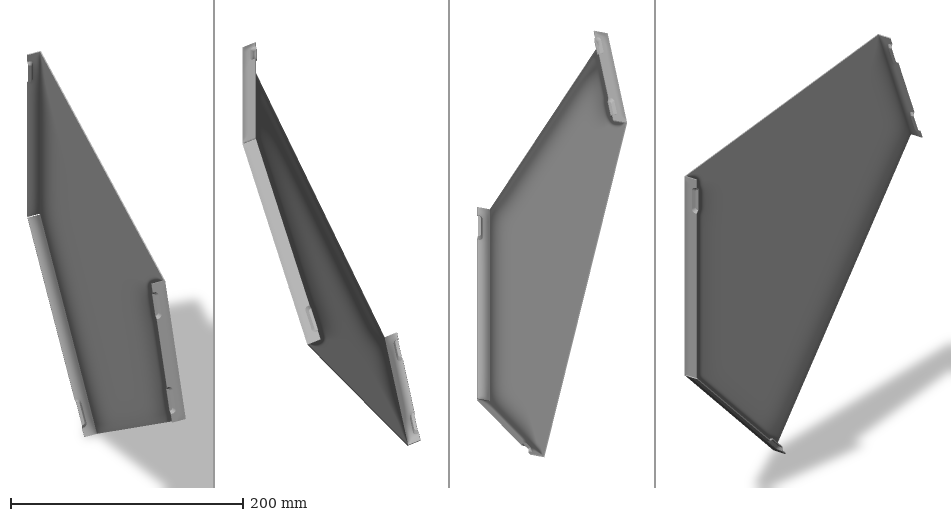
import cadquery as cq
import math

WIDTH = 352.36
HEIGHT = 334.85
DEPTH = 12.51
THICKNESS = 1.0

DIAGONAL = math.sqrt(0.5)
SHORT_SIDE = HEIGHT / (1 + DIAGONAL)
LONG_SIDE = (WIDTH - SHORT_SIDE * DIAGONAL) / DIAGONAL

CORNER_GAP = 0.8

DENT_END_DISTANCE = 8.2
DENT_LENGTH = 25.0
DENT_HEIGHT = 4.8
DENT_DEPTH = 2.5
DENT_CORNER_RADIUS = 3.4
DENT_WALL_RUN = 2.2
CORNER_TIGHTENING = 0.5

TOP_LEFT = (0, HEIGHT)
LOWER_LEFT = (0, HEIGHT - SHORT_SIDE)
BOTTOM = (SHORT_SIDE * DIAGONAL, 0)
RIGHT = (WIDTH, LONG_SIDE * DIAGONAL)
TOP_RIGHT = (LONG_SIDE, HEIGHT)


def edge_plane(start, end):
    """Plane on the outer face of an edge: x along the edge, y toward +Y from the free edge, normal inward."""
    run_x = end[0] - start[0]
    run_z = end[1] - start[1]
    return cq.Plane(
        origin=(start[0], 0, start[1]),
        xDir=(run_x, 0, run_z),
        normal=(-run_z, 0, run_x),
    )


def dent_frustum(plane, start, level):
    """Tapered block whose wide side lies at the given level above the outer face."""
    sections = []
    for offset, inset in ((level, 0), (level + DENT_DEPTH, DENT_WALL_RUN)):
        left = start + inset
        right = start + DENT_LENGTH - inset
        top = DENT_HEIGHT - inset
        radius = DENT_CORNER_RADIUS - inset * CORNER_TIGHTENING
        bend = radius * (1 - DIAGONAL)
        section = (
            cq.Workplane(plane)
            .workplane(offset=offset)
            .moveTo(left, 0)
            .lineTo(left, top - radius)
            .threePointArc((left + bend, top - bend), (left + radius, top))
            .lineTo(right - radius, top)
            .threePointArc((right - bend, top - bend), (right, top - radius))
            .lineTo(right, 0)
            .close()
        )
        sections.append(section.wires().val())
    return cq.Workplane(cq.Solid.makeLoft(sections, True))


def flange(start, end, start_gap, end_gap, dent_starts):
    """Flange along one edge, with dents starting at the given distances along it."""
    plane = edge_plane(start, end)
    length = math.dist(start, end)
    wall = (
        cq.Workplane(plane)
        .moveTo(start_gap, 0)
        .lineTo(length - end_gap, 0)
        .lineTo(length - end_gap, DEPTH)
        .lineTo(start_gap, DEPTH)
        .close()
        .extrude(THICKNESS)
    )
    for dent_start in dent_starts:
        wall = wall.union(dent_frustum(plane, dent_start, THICKNESS))
        wall = wall.cut(dent_frustum(plane, dent_start, 0))
    return wall


def far_dent_start(length):
    """Start of a dent placed at the far end of an edge of the given length."""
    return length - DENT_END_DISTANCE - DENT_LENGTH


panel = (
    cq.Workplane("XZ", origin=(0, DEPTH, 0))
    .polyline([TOP_LEFT, LOWER_LEFT, BOTTOM, RIGHT, TOP_RIGHT])
    .close()
    .extrude(THICKNESS)
)

left_flange = flange(TOP_LEFT, LOWER_LEFT, 0, CORNER_GAP, [DENT_END_DISTANCE])
lower_flange = flange(LOWER_LEFT, BOTTOM, CORNER_GAP, 0, [far_dent_start(SHORT_SIDE)])

right_side = math.dist(RIGHT, TOP_RIGHT)
right_flange = flange(RIGHT, TOP_RIGHT, 0, 0, [DENT_END_DISTANCE, far_dent_start(right_side)])

result = panel.union(left_flange).union(lower_flange).union(right_flange)